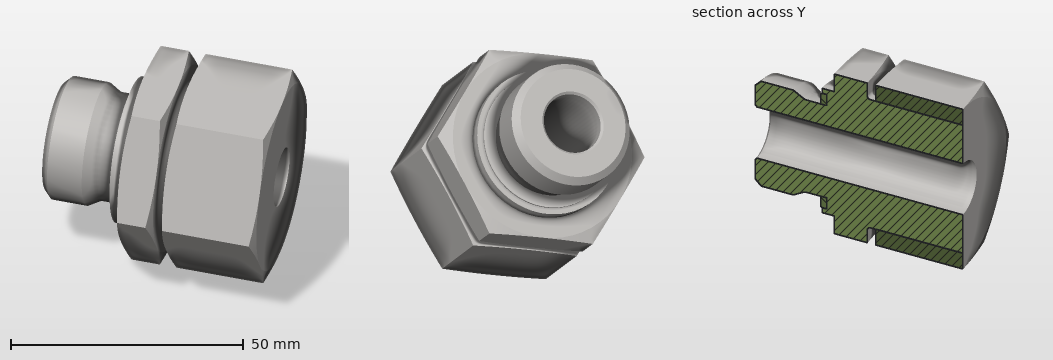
import cadquery as cq
import math


total_length = 50.0
stud_cylinder_end = 9.2
seal_face_x = 15.7
collar_face_x = 16.1
hex_start_x = 19.0
hex_length = 8.0
hex_end_x = hex_start_x + hex_length
nut_length = 21.0
nut_start_x = total_length - nut_length

across_flats = 41.0
hex_chamfer_angle = 15.0
hex_corner_radius = across_flats / 2 / math.cos(math.radians(30))
hex_face_radius = across_flats / 2
hex_chamfer_depth = (hex_corner_radius - hex_face_radius) * math.tan(math.radians(hex_chamfer_angle))

stud_radius = 13.5
stud_tip_chamfer = 1.5
neck_radius = 11.9
runout_angle = math.radians(30)
runout_blend_radius = 1.8
collar_radius = 16.0
shank_radius = 16.5
shank_fillet = 0.75
bore_radius = 6.5
bore_chamfer = 0.5

seal_outer_radius = 14.6
seal_thickness = 1.5
seal_back_x = seal_face_x + seal_thickness


def revolve_about_x(profile):
    """Turn a closed profile, drawn as (x, radius), into a solid about the X axis."""
    return profile.close().revolve(360, (0, 0, 0), (1, 0, 0))


def make_hex_prism(start_x, length):
    """Hexagon with flats facing +Z and -Z and conical chamfers on both ends."""
    prism = (
        cq.Workplane("YZ")
        .workplane(offset=start_x)
        .polygon(6, 2 * hex_corner_radius)
        .extrude(length)
    )
    end_x = start_x + length
    chamfer_envelope = revolve_about_x(
        cq.Workplane("XY")
        .moveTo(start_x, 0)
        .lineTo(start_x, hex_face_radius)
        .lineTo(start_x + hex_chamfer_depth, hex_corner_radius)
        .lineTo(end_x - hex_chamfer_depth, hex_corner_radius)
        .lineTo(end_x, hex_face_radius)
        .lineTo(end_x, 0)
    )
    return prism.intersect(chamfer_envelope)


def make_turned_stud():
    """Threaded stud, runout cone, neck and collar, with a seat for the sealing ring."""
    blend_drop = runout_blend_radius * (1 - math.cos(runout_angle))
    blend_length = runout_blend_radius * math.sin(runout_angle)
    cone_end_radius = neck_radius + blend_drop
    cone_end_x = stud_cylinder_end + (stud_radius - cone_end_radius) / math.tan(runout_angle)
    blend_middle_x = cone_end_x + blend_length - runout_blend_radius * math.sin(runout_angle / 2)
    blend_middle_radius = neck_radius + runout_blend_radius * (1 - math.cos(runout_angle / 2))
    return revolve_about_x(
        cq.Workplane("XY")
        .moveTo(0, 0)
        .lineTo(0, stud_radius - stud_tip_chamfer)
        .lineTo(stud_tip_chamfer, stud_radius)
        .lineTo(stud_cylinder_end, stud_radius)
        .lineTo(cone_end_x, cone_end_radius)
        .threePointArc((blend_middle_x, blend_middle_radius), (cone_end_x + blend_length, neck_radius))
        .lineTo(seal_back_x, neck_radius)
        .lineTo(seal_back_x, seal_outer_radius)
        .lineTo(collar_face_x, seal_outer_radius)
        .lineTo(collar_face_x, collar_radius)
        .lineTo(hex_start_x, collar_radius)
        .lineTo(hex_start_x, 0)
    )


def make_shank():
    """Plain shank that fills the nut, filleted where it leaves the hexagon."""
    arc_offset = shank_fillet * (1 - math.sqrt(0.5))
    return revolve_about_x(
        cq.Workplane("XY")
        .moveTo(hex_end_x, 0)
        .lineTo(hex_end_x, shank_radius + shank_fillet)
        .threePointArc(
            (hex_end_x + arc_offset, shank_radius + arc_offset),
            (hex_end_x + shank_fillet, shank_radius),
        )
        .lineTo(total_length, shank_radius)
        .lineTo(total_length, 0)
    )


def make_bore():
    """Through bore with a chamfered mouth at the stud tip."""
    return revolve_about_x(
        cq.Workplane("XY")
        .moveTo(0, 0)
        .lineTo(0, bore_radius + bore_chamfer)
        .lineTo(bore_chamfer, bore_radius)
        .lineTo(total_length, bore_radius)
        .lineTo(total_length, 0)
    )


def make_fitting():
    """Fitting body: stud, hexagon and shank in one piece."""
    outside = make_turned_stud().union(make_hex_prism(hex_start_x, hex_length)).union(make_shank())
    return outside.cut(make_bore())


def make_sealing_ring():
    """Flat ring around the neck, let into the face of the collar."""
    return (
        cq.Workplane("YZ")
        .workplane(offset=seal_face_x)
        .circle(seal_outer_radius)
        .circle(neck_radius)
        .extrude(seal_thickness)
    )


def make_nut():
    """Hexagon nut around the shank."""
    shank_hole = cq.Workplane("YZ").workplane(offset=nut_start_x).circle(shank_radius).extrude(nut_length)
    return make_hex_prism(nut_start_x, nut_length).cut(shank_hole)


fitting = make_fitting()
sealing_ring = make_sealing_ring()
nut = make_nut()

result = cq.Compound.makeCompound([fitting.val(), sealing_ring.val(), nut.val()])